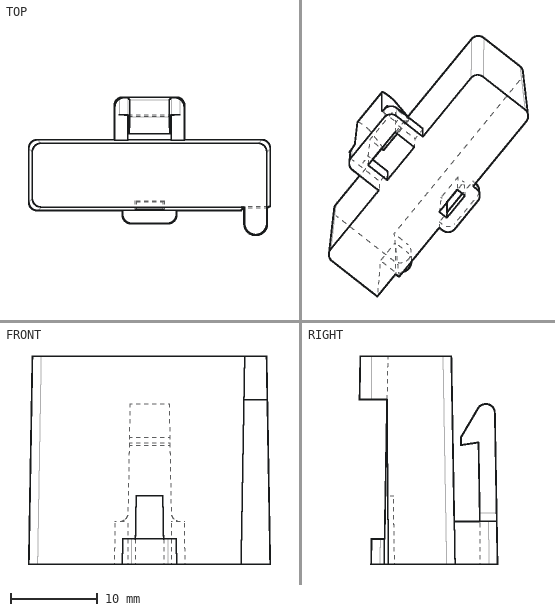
import cadquery as cq
import math

DRAFT_ANGLE = 1.0
DRAFT = math.tan(math.radians(DRAFT_ANGLE))
CORNER_RADIUS = 1.0

BODY_WIDTH = 27.85
BODY_DEPTH = 8.18
BODY_HEIGHT = 24.0
BODY_RIGHT = BODY_WIDTH / 2
BODY_FRONT = -BODY_DEPTH / 2

TAB_FRONT = -6.85
TAB_HEIGHT = 5.0
TAB_WIDTH = 2.53
TAB_BOTTOM = BODY_HEIGHT - TAB_HEIGHT

RELIEF_DEPTH = 0.5

LEDGE_WIDTH = 6.26
LEDGE_HEIGHT = 2.95
LEDGE_FRONT = -5.6
POCKET_WIDTH = 3.35
POCKET_HEIGHT = 7.9
POCKET_DEPTH = 1.17

LATCH_BACK = 9.0
LATCH_BASE_WIDTH = 8.13
LATCH_BASE_HEIGHT = 4.95
ARM_WIDTH = 4.98
ARM_THICKNESS = 2.05
ARM_TOP = 18.49
TIP_RADIUS = 1.05
ARM_FRONT = LATCH_BACK - ARM_THICKNESS
HOOK_FRONT = 4.75
HOOK_NOSE_TOP = 14.65
HOOK_NOSE_BOTTOM = 13.73
HOOK_ROOT = 14.03


def drafted_block(width, front, back, height, outer_face):
    """Block on the base plane, narrowing upwards, with rounded upright edges."""
    block = cq.Workplane("XY").center(0, (front + back) / 2).rect(width, back - front)
    block = block.extrude(height, taper=DRAFT_ANGLE)
    return block.faces(outer_face).edges("not #Z").fillet(CORNER_RADIUS)


def make_body():
    block = cq.Workplane("XY").rect(BODY_WIDTH, BODY_DEPTH)
    block = block.extrude(BODY_HEIGHT, taper=DRAFT_ANGLE)
    rounded = block.faces("<X or >Y").edges("not #Z")
    return rounded.fillet(CORNER_RADIUS)


def make_tab():
    right = BODY_RIGHT - BODY_HEIGHT * DRAFT
    radius = TAB_WIDTH / 2
    left = right - TAB_WIDTH
    round_start = TAB_FRONT + radius
    return (
        cq.Workplane("XY", origin=(0, 0, BODY_HEIGHT))
        .moveTo(left, 0)
        .lineTo(left, round_start)
        .threePointArc((left + radius, TAB_FRONT), (right, round_start))
        .lineTo(right, 0)
        .close()
        .extrude(-TAB_HEIGHT, taper=-DRAFT_ANGLE)
    )


def make_relief():
    """Wedge limited on its left by a drafted line in line with the tab."""
    front_at_tab = BODY_FRONT + TAB_BOTTOM * DRAFT
    wedge = (
        cq.Workplane("YZ")
        .polyline([
            (BODY_FRONT + RELIEF_DEPTH, 0),
            (front_at_tab, TAB_BOTTOM),
            (BODY_FRONT, TAB_BOTTOM),
            (BODY_FRONT, 0),
        ])
        .close()
        .extrude(BODY_RIGHT)
    )
    left_at_top = BODY_RIGHT - BODY_HEIGHT * DRAFT - TAB_WIDTH
    strip = (
        cq.Workplane("XZ")
        .polyline([
            (left_at_top - BODY_HEIGHT * DRAFT, 0),
            (left_at_top, BODY_HEIGHT),
            (BODY_RIGHT, BODY_HEIGHT),
            (BODY_RIGHT, 0),
        ])
        .close()
        .extrude(BODY_DEPTH)
    )
    return wedge.intersect(strip)


def make_pocket():
    return (
        cq.Workplane("XY", origin=(0, BODY_FRONT, 0))
        .rect(POCKET_WIDTH, 2 * POCKET_DEPTH)
        .extrude(POCKET_HEIGHT, taper=DRAFT_ANGLE)
    )


def make_latch_base():
    base = drafted_block(LATCH_BASE_WIDTH, 0, LATCH_BACK, LATCH_BASE_HEIGHT, ">Y")
    opening = (
        cq.Workplane("XY")
        .center(0, ARM_FRONT / 2)
        .rect(ARM_WIDTH, ARM_FRONT)
        .extrude(LATCH_BASE_HEIGHT)
    )
    return base.cut(opening)


def make_latch_arm():
    """Hooked side profile trimmed to a narrowing front profile with flared feet."""
    foot_back = LATCH_BACK - LATCH_BASE_HEIGHT * DRAFT
    tip_z = ARM_TOP - TIP_RADIUS
    tip_back = LATCH_BACK - tip_z * DRAFT
    tip_y = tip_back - TIP_RADIUS
    ramp_angle = math.radians(30)
    ramp_start = (
        tip_y - TIP_RADIUS * math.cos(ramp_angle),
        tip_z + TIP_RADIUS * math.sin(ramp_angle),
    )
    hook = (
        cq.Workplane("YZ")
        .moveTo(ARM_FRONT, LATCH_BASE_HEIGHT)
        .lineTo(foot_back, LATCH_BASE_HEIGHT)
        .lineTo(tip_back, tip_z)
        .threePointArc((tip_y, ARM_TOP), ramp_start)
        .lineTo(HOOK_FRONT, HOOK_NOSE_TOP)
        .lineTo(HOOK_FRONT, HOOK_NOSE_BOTTOM)
        .lineTo(ARM_FRONT - (HOOK_ROOT - LATCH_BASE_HEIGHT) * DRAFT, HOOK_ROOT)
        .close()
        .extrude(LATCH_BASE_WIDTH / 2, both=True)
    )
    half = ARM_WIDTH / 2
    half_top = half - (ARM_TOP - LATCH_BASE_HEIGHT) * DRAFT
    flare_top = LATCH_BASE_HEIGHT + CORNER_RADIUS
    flare_mid = CORNER_RADIUS * (1 - math.sqrt(0.5))
    front_profile = (
        cq.Workplane("XZ")
        .moveTo(-half - CORNER_RADIUS, LATCH_BASE_HEIGHT)
        .threePointArc((-half - flare_mid, LATCH_BASE_HEIGHT + flare_mid), (-half, flare_top))
        .lineTo(-half_top, ARM_TOP)
        .lineTo(half_top, ARM_TOP)
        .lineTo(half, flare_top)
        .threePointArc(
            (half + flare_mid, LATCH_BASE_HEIGHT + flare_mid),
            (half + CORNER_RADIUS, LATCH_BASE_HEIGHT),
        )
        .close()
        .extrude(-LATCH_BACK)
    )
    return hook.intersect(front_profile)


def make_ledge():
    ledge = drafted_block(LEDGE_WIDTH, LEDGE_FRONT, 0, LEDGE_HEIGHT, "<Y")
    ledge_back = BODY_FRONT + LEDGE_HEIGHT * DRAFT
    keep = (
        cq.Workplane("XY")
        .center(0, (LEDGE_FRONT + ledge_back) / 2)
        .rect(LEDGE_WIDTH, ledge_back - LEDGE_FRONT)
        .extrude(LEDGE_HEIGHT)
    )
    return ledge.intersect(keep)


result = (
    make_body()
    .cut(make_relief())
    .cut(make_pocket())
    .union(make_tab())
    .union(make_ledge())
    .union(make_latch_base())
    .union(make_latch_arm())
)